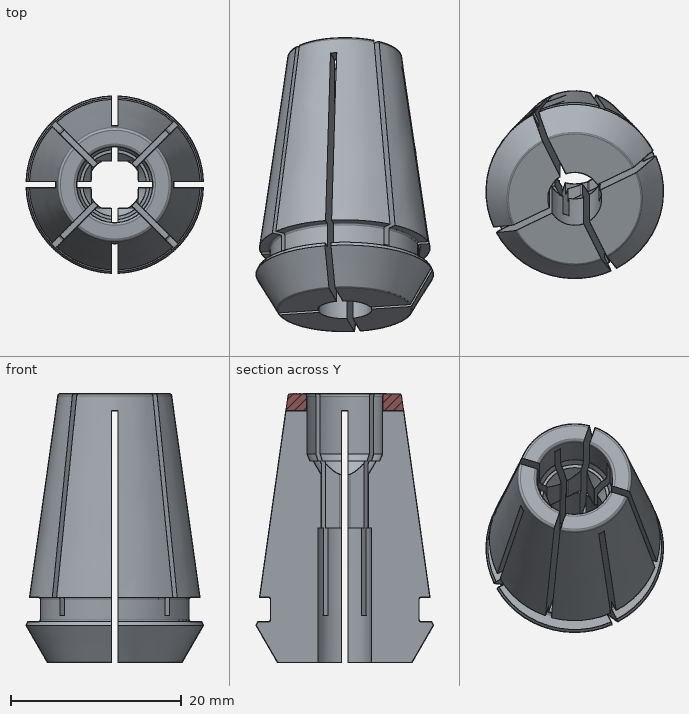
import cadquery as cq
import math


length = 31.5
flange_radius = 10.4
flange_top = 4.82
rim_height = 4.38
rim_chamfer_width = 0.22
flange_half_angle = 30.0
neck_radius = 8.73
taper_base = 7.65
taper_base_radius = 10.0
taper_half_angle = 8.0

shank_radius = 3.15
shank_depth = 15.75
square_side = 5.48
pilot_radius = 2.8
square_length = 6.3
countersink_radius = 3.72
countersink_height = 1.58
shoulder_radius = 4.1
shoulder_height = 0.8
bore_radius = 4.45

slit_width = 0.72
nose_slit_top = 29.48
tail_slit_floor = 5.5
slits_per_end = 4

mouth_fillet = 0.3
relief_fillet = 0.2

flange_base_radius = flange_radius - rim_height * math.tan(math.radians(flange_half_angle))
taper_top_radius = taper_base_radius - (length - taper_base) * math.tan(math.radians(taper_half_angle))
square_top = shank_depth + square_length
countersink_top = square_top + countersink_height
shoulder_top = countersink_top + shoulder_height


def revolved(points):
    """Solid of revolution about Z from (radius, height) points."""
    return cq.Workplane("XZ").polyline(points).close().revolve(360, (0, 0), (0, 1))


def round_circle(body, radius, height, fillet):
    """Round the circular edge of the given radius that lies at the given height."""
    tolerance = 0.0003

    def on_circle(edge):
        if edge.geomType() != "CIRCLE":
            return False
        return abs(edge.radius() - radius) < tolerance and abs(edge.Center().z - height) < tolerance

    return body.newObject([edge for edge in body.edges().vals() if on_circle(edge)]).fillet(fillet)


def outer_body():
    body = revolved([
        (0, 0),
        (flange_base_radius, 0),
        (flange_radius, rim_height),
        (flange_radius - rim_chamfer_width, flange_top),
        (neck_radius, flange_top),
        (neck_radius, taper_base),
        (taper_base_radius, taper_base),
        (taper_top_radius, length),
        (0, length),
    ])
    body = round_circle(body, flange_base_radius, 0, relief_fillet)
    body = round_circle(body, neck_radius, flange_top, relief_fillet)
    body = round_circle(body, neck_radius, taper_base, relief_fillet)
    return round_circle(body, taper_top_radius, length, mouth_fillet)


def cut_bore(body):
    shank_hole = cq.Workplane("XY").circle(shank_radius).extrude(shank_depth)
    square_plane = cq.Workplane("XY", origin=(0, 0, shank_depth))
    square_height = countersink_top - shank_depth
    square_hole = square_plane.rect(square_side, square_side).extrude(square_height)
    pilot_hole = square_plane.circle(pilot_radius).extrude(square_length)
    countersink_and_bore = revolved([
        (0, square_top),
        (pilot_radius, square_top),
        (countersink_radius, countersink_top),
        (shoulder_radius, countersink_top),
        (bore_radius, shoulder_top),
        (bore_radius, length),
        (0, length),
    ])
    body = body.cut(shank_hole).cut(square_hole).cut(pilot_hole).cut(countersink_and_bore)
    return round_circle(body, bore_radius, length, mouth_fillet)


def cut_slits(body, bottom, top, first_angle):
    """Cut evenly spaced radial slits from the axis outwards between two heights."""
    reach = 2 * flange_radius
    for index in range(slits_per_end):
        slit = (
            cq.Workplane("XY", origin=(0, 0, bottom))
            .rect(reach, slit_width)
            .extrude(top - bottom)
            .translate((reach / 2, 0, 0))
            .rotate((0, 0, 0), (0, 0, 1), first_angle + index * 360 / slits_per_end)
        )
        body = body.cut(slit)
    return body


result = cut_bore(outer_body())
result = cut_slits(result, 0, nose_slit_top, 0)
result = cut_slits(result, tail_slit_floor, length, 180 / slits_per_end)